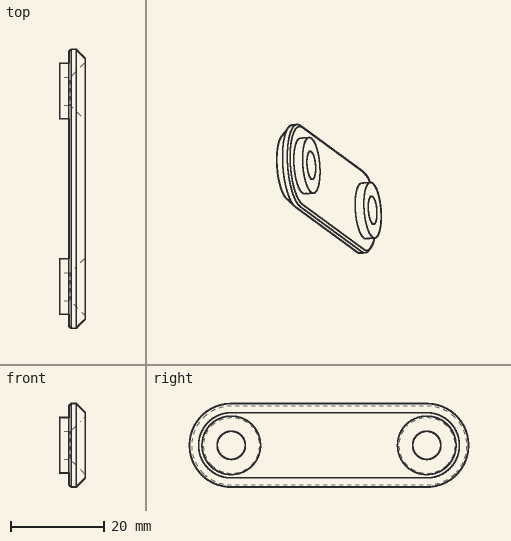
import cadquery as cq

length = 60.0
width = 18.0
total_depth = 5.5
boss_height = 2.0
boss_diameter = 12.0
hole_diameter = 6.0
countersink_diameter = 12.6
countersink_angle = 90.0
hole_spacing = 42.0
boss_side_chamfer = 0.5
plain_side_chamfer = 2.0

plate_thickness = total_depth - boss_height
hole_centers = [(-hole_spacing / 2, 0), (hole_spacing / 2, 0)]


def make_plate():
    """Round-ended plate along Y, from X = 0 to its thickness, chamfered on both faces."""
    plate = cq.Workplane("YZ").slot2D(length, width).extrude(plate_thickness)
    plate = plate.faces("<X").chamfer(boss_side_chamfer)
    return plate.faces(">X").chamfer(plain_side_chamfer)


def make_bosses():
    """Round bosses standing on the -X face of the plate."""
    centers = cq.Workplane("YZ").pushPoints(hole_centers)
    return centers.circle(boss_diameter / 2).extrude(-boss_height)


def cut_countersunk_holes(body):
    """Through holes with a conical countersink opening on the +X face."""
    outer_face = body.faces(">X").workplane(origin=(0, 0, 0))
    return outer_face.pushPoints(hole_centers).cskHole(
        hole_diameter, countersink_diameter, countersink_angle
    )


result = cut_countersunk_holes(make_plate().union(make_bosses()))